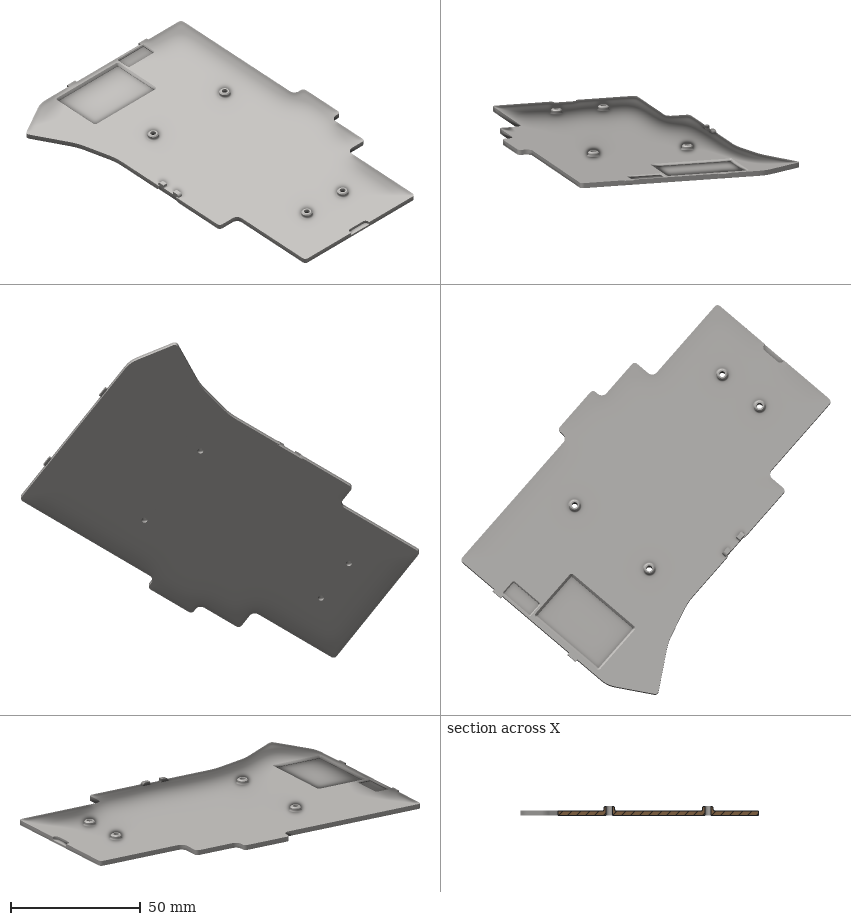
import cadquery as cq
import math

double_pitch = 38.0
pitch = double_pitch / 2

overall_length = 141.7
plate_thickness = 2.0
boss_height = 1.7
edge_tab_reach = 1.0
right_x = overall_length - edge_tab_reach
body_half_width = 38.5
step_x = right_x - double_pitch
step_half_width = 29.2
boss_left_x = 44.9
rear_tab_centre_x = 73.5
rear_tab_width = 20.7
rear_tab_top_y = 43.5
tip_x = 9.9
tip_y = -53.5
tip_slope = math.radians(30)
mid_slope = math.radians(15)
outer_corner_radius = 1.4
inner_corner_radius = 2.4
left_bend_radius = 11.3
front_bend_radius = 22.7

edge_tab_width = 4.1
edge_tab_thickness = 1.0
notch_width = 9.6
notch_reach = 2.0
notch_depth = 1.1
notch_corner_radius = 1.4

small_pocket_limits = (0.9, 7.4, 3.7, 17.7)
small_pocket_depth = 0.7
small_pocket_rim_chamfer = 0.4
small_pocket_corner_radius = 0.7
large_pocket_limits = (2.1, 24.2, -30.2, 2.8)
large_pocket_depth = 1.0
large_pocket_rim_chamfer = 0.9
large_pocket_corner_radius = 1.0

boss_diameter = 4.3
boss_hole_diameter = 2.3
boss_foot_radius = 0.5
boss_rim_chamfer = 0.4

hook_height = 1.3
hook_width_y = 1.8
hook_recess = 0.4
hook_inner_x = 2.7
hook_outer_x = 5.8
hook_foot_radius = 0.5
waist_half_width = 4.8
flare_radius = 1.4

arc_middle_from_centre = math.sqrt(0.5)
arc_middle_from_corner = 1 - arc_middle_from_centre


def make_plate():
    """Stepped plate whose front left corner runs out to a slanted tip."""
    tab_left_x = rear_tab_centre_x - rear_tab_width / 2
    tab_right_x = rear_tab_centre_x + rear_tab_width / 2
    left_bend = (0, tip_y + tip_x / math.tan(tip_slope))
    front_bend = (boss_left_x, -body_half_width)
    tip_edge_offset = tip_y - tip_x * math.tan(tip_slope)
    mid_edge_offset = front_bend[1] - front_bend[0] * math.tan(mid_slope)
    mid_bend_x = (mid_edge_offset - tip_edge_offset) / (math.tan(tip_slope) - math.tan(mid_slope))
    mid_bend = (mid_bend_x, tip_edge_offset + mid_bend_x * math.tan(tip_slope))

    outer_corners = [
        (0, body_half_width),
        (tab_left_x, rear_tab_top_y),
        (tab_right_x, rear_tab_top_y),
        (step_x, body_half_width),
        (right_x, step_half_width),
        (right_x, -step_half_width),
        (step_x, -body_half_width),
        (tip_x, tip_y),
    ]
    inner_corners = [
        (tab_left_x, body_half_width),
        (tab_right_x, body_half_width),
        (step_x, step_half_width),
        (step_x, -step_half_width),
    ]
    outline = [
        outer_corners[0],
        inner_corners[0],
        *outer_corners[1:3],
        inner_corners[1],
        outer_corners[3],
        inner_corners[2],
        *outer_corners[4:6],
        inner_corners[3],
        outer_corners[6],
        front_bend,
        mid_bend,
        outer_corners[7],
        left_bend,
    ]
    plate = cq.Workplane("XY").polyline(outline).close().extrude(plate_thickness)

    rounded_corners = [
        (outer_corners, outer_corner_radius),
        (inner_corners, inner_corner_radius),
        ([front_bend, mid_bend], front_bend_radius),
        ([left_bend], left_bend_radius),
    ]
    for corners, radius in rounded_corners:
        for x, y in corners:
            corner_edge = cq.selectors.NearestToPointSelector((x, y, plate_thickness / 2))
            plate = plate.edges("|Z").edges(corner_edge).fillet(radius)
    return plate


def make_edge_tabs():
    """Thin tabs on the left edge, sunk into the plate as far as they stick out."""
    return (
        cq.Workplane("XY", origin=(0, 0, plate_thickness - edge_tab_thickness))
        .pushPoints([(0, pitch), (0, -pitch)])
        .rect(2 * edge_tab_reach, edge_tab_width)
        .extrude(edge_tab_thickness)
    )


def make_notch():
    """Shallow notch, open at the right edge, with rounded inner corners."""
    return (
        cq.Workplane("XY", origin=(right_x, 0, plate_thickness - notch_depth))
        .rect(2 * notch_reach, notch_width)
        .extrude(notch_depth)
        .edges("|Z")
        .fillet(notch_corner_radius)
    )


def make_pocket(limits, depth, rim_chamfer, corner_radius):
    """Cutter for a straight walled pocket with a chamfered rim."""
    x_min, x_max, y_min, y_max = limits
    opening = cq.Sketch().rect(x_max - x_min, y_max - y_min).vertices().fillet(corner_radius)
    centre = ((x_min + x_max) / 2, (y_min + y_max) / 2, plate_thickness)
    rim = cq.Workplane("XY", origin=centre).placeSketch(opening).extrude(-rim_chamfer, taper=45)
    walls = rim.faces("<Z").wires().toPending().extrude(rim_chamfer - depth)
    return rim.union(walls)


def make_boss():
    """Boss with a flared foot and a chamfered rim, as a half section turned about Z."""
    radius = boss_diameter / 2
    foot_middle = boss_foot_radius * arc_middle_from_corner
    return (
        cq.Workplane("XZ")
        .moveTo(0, 0)
        .lineTo(radius + boss_foot_radius, 0)
        .threePointArc((radius + foot_middle, foot_middle), (radius, boss_foot_radius))
        .lineTo(radius, boss_height - boss_rim_chamfer)
        .lineTo(radius - boss_rim_chamfer, boss_height)
        .lineTo(0, boss_height)
        .close()
        .revolve(360, (0, 0, 0), (0, 1, 0))
    )


def add_bosses(body):
    """Wide pair on the left, narrow pair on the right, each boss drilled through."""
    boss_right_x = boss_left_x + 2 * double_pitch
    centres = [
        (boss_left_x, pitch),
        (boss_left_x, -pitch),
        (boss_right_x, pitch / 2),
        (boss_right_x, -pitch / 2),
    ]
    boss = make_boss()
    for x, y in centres:
        body = body.union(boss.translate((x, y, plate_thickness)))
    holes = (
        cq.Workplane("XY")
        .pushPoints(centres)
        .circle(boss_hole_diameter / 2)
        .extrude(plate_thickness + boss_height)
    )
    return body.cut(holes)


def make_hook_recess():
    """Shallow recess in the front edge that flares out towards the underside."""
    arc_x = waist_half_width + flare_radius * arc_middle_from_corner
    arc_z = flare_radius * arc_middle_from_corner
    flare_x = waist_half_width + flare_radius
    return (
        cq.Workplane("XZ", origin=(rear_tab_centre_x, -body_half_width + hook_recess, 0))
        .moveTo(-waist_half_width, plate_thickness)
        .lineTo(-waist_half_width, flare_radius)
        .threePointArc((-arc_x, arc_z), (-flare_x, 0))
        .lineTo(flare_x, 0)
        .threePointArc((arc_x, arc_z), (waist_half_width, flare_radius))
        .lineTo(waist_half_width, plate_thickness)
        .close()
        .extrude(hook_recess)
    )


def make_hooks():
    """Mirrored hooks with a quarter round outer side and a filleted inner foot."""
    round_centre_x = hook_outer_x - hook_height
    round_x = round_centre_x + hook_height * arc_middle_from_centre
    round_z = hook_height * arc_middle_from_centre
    foot_middle = hook_foot_radius * arc_middle_from_corner
    hook = (
        cq.Workplane("XZ")
        .moveTo(hook_inner_x - hook_foot_radius, 0)
        .threePointArc((hook_inner_x - foot_middle, foot_middle), (hook_inner_x, hook_foot_radius))
        .lineTo(hook_inner_x, hook_height)
        .lineTo(round_centre_x, hook_height)
        .threePointArc((round_x, round_z), (hook_outer_x, 0))
        .close()
        .extrude(-hook_width_y)
    )
    hooks = hook.union(hook.mirror("YZ"))
    return hooks.translate((rear_tab_centre_x, -body_half_width + hook_recess, plate_thickness))


small_pocket = make_pocket(
    small_pocket_limits, small_pocket_depth, small_pocket_rim_chamfer, small_pocket_corner_radius
)
large_pocket = make_pocket(
    large_pocket_limits, large_pocket_depth, large_pocket_rim_chamfer, large_pocket_corner_radius
)

result = make_plate().union(make_edge_tabs()).cut(make_notch())
result = result.cut(small_pocket).cut(large_pocket)
result = add_bosses(result)
result = result.cut(make_hook_recess()).union(make_hooks())